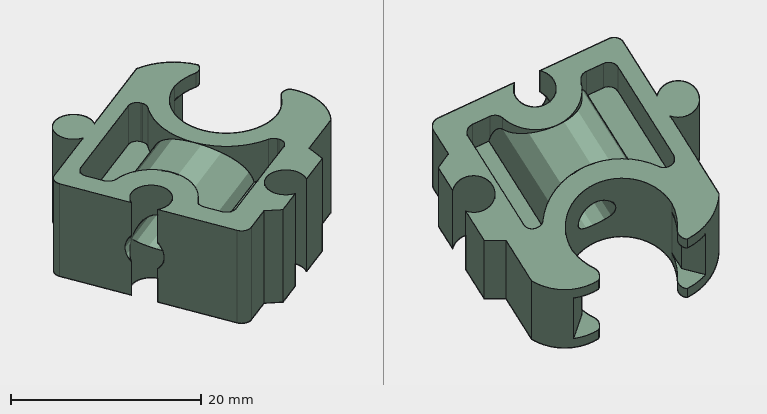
import cadquery as cq

height = 12.0
mid_z = height / 2

left_x = -10.92
upper_right_x = 11.52
lower_right_x = 11.8
shoulder_y = 22.25
corner_radius = 1.15

tab_x = 13.55
tab_upper_root_y = 16.6
tab_upper_y = 15.5
tab_lower_y = 5.38
tab_lower_root_y = 4.38

bore_radius = 5.97
bore_y = 20.95
jaw_outer_x = 5.32
jaw_outer_y = 25.55
jaw_nose_x = 4.83
jaw_nose_y = 24.85
jaw_inner_x = 4.9
jaw_inner_y = 24.15
jaw_curve_x = 5.65
jaw_curve_y = 22.52
left_crown = (-8.8, 24.43)
right_crown = (9.05, 24.8)

relief_height = 8.3
relief_end_x = 7.95
relief_end_y = 25.08
relief_straight_y = 23.1
relief_overrun = 1.3

joint_diameter = 4.5
joint_radius = joint_diameter / 2
joint_y = 9.98
pin_x = -12.65
side_socket_x = 11.8
bottom_socket_y = 1.68

pocket_half_width = 8.95
pocket_bottom_y = 2.42
pocket_top_y = 16.78
pocket_floor_z = 7.0
bore_wall_radius = 8.35
socket_wall_y = 1.85
socket_wall_radius = 4.9
pocket_top_fillet = 1.0
pocket_bottom_fillet = 1.15
saddle_radius = bore_radius


def upright_cylinder(x, y, radius):
    return cq.Workplane("XY").center(x, y).circle(radius).extrude(height)


def make_body():
    outline = (
        cq.Workplane("XY")
        .moveTo(left_x, 0)
        .lineTo(lower_right_x, 0)
        .lineTo(lower_right_x, tab_lower_root_y)
        .lineTo(tab_x, tab_lower_y)
        .lineTo(tab_x, tab_upper_y)
        .lineTo(upper_right_x, tab_upper_root_y)
        .lineTo(upper_right_x, shoulder_y)
        .threePointArc(right_crown, (jaw_outer_x, jaw_outer_y))
        .threePointArc((jaw_nose_x, jaw_nose_y), (jaw_inner_x, jaw_inner_y))
        .threePointArc((jaw_curve_x, jaw_curve_y), (bore_radius, bore_y))
        .threePointArc((0, bore_y - bore_radius), (-bore_radius, bore_y))
        .threePointArc((-jaw_curve_x, jaw_curve_y), (-jaw_inner_x, jaw_inner_y))
        .threePointArc((-jaw_nose_x, jaw_nose_y), (-jaw_outer_x, jaw_outer_y))
        .threePointArc(left_crown, (left_x, shoulder_y))
        .close()
    )
    return outline.extrude(height).edges("|Z and <Y").fillet(corner_radius)


def make_jaw_relief():
    """Straight opening with flared ends that leaves a thin lip at the top and bottom of each jaw."""
    outer_x = bore_radius + (relief_end_x - bore_radius) * relief_overrun
    outer_y = relief_straight_y + (relief_end_y - relief_straight_y) * relief_overrun
    return (
        cq.Workplane("XY", origin=(0, 0, mid_z - relief_height / 2))
        .moveTo(-bore_radius, bore_y)
        .lineTo(bore_radius, bore_y)
        .lineTo(bore_radius, relief_straight_y)
        .lineTo(outer_x, outer_y)
        .lineTo(-outer_x, outer_y)
        .lineTo(-bore_radius, relief_straight_y)
        .close()
        .extrude(relief_height)
    )


def make_pocket():
    """Rounded pocket bounded by the bore wall and the bottom socket wall."""
    length = pocket_top_y - pocket_bottom_y
    block = (
        cq.Workplane("XY")
        .center(0, pocket_bottom_y + length / 2)
        .rect(2 * pocket_half_width, length)
        .extrude(height)
    )
    block = block.cut(upright_cylinder(0, bore_y, bore_wall_radius))
    block = block.cut(upright_cylinder(0, socket_wall_y, socket_wall_radius))
    block = block.faces(">Y").edges("|Z").fillet(pocket_top_fillet)
    block = block.faces("<Y").edges("|Z").fillet(pocket_bottom_fillet)
    below_floor = cq.Workplane("XY").box(
        2 * tab_x, 2 * pocket_top_y, pocket_floor_z, centered=(True, True, False)
    )
    saddle = (
        cq.Workplane("XZ", origin=(0, 0, mid_z))
        .circle(saddle_radius)
        .extrude(-pocket_top_y)
    )
    return block.cut(below_floor).cut(saddle)


cross_hole = (
    cq.Workplane("XZ", origin=(0, 0, mid_z))
    .circle(joint_radius)
    .extrude(-bore_y)
)

result = (
    make_body()
    .cut(make_jaw_relief())
    .cut(make_pocket())
    .union(upright_cylinder(pin_x, joint_y, joint_radius))
    .cut(upright_cylinder(side_socket_x, joint_y, joint_radius))
    .cut(upright_cylinder(0, bottom_socket_y, joint_radius))
    .cut(cross_hole)
)